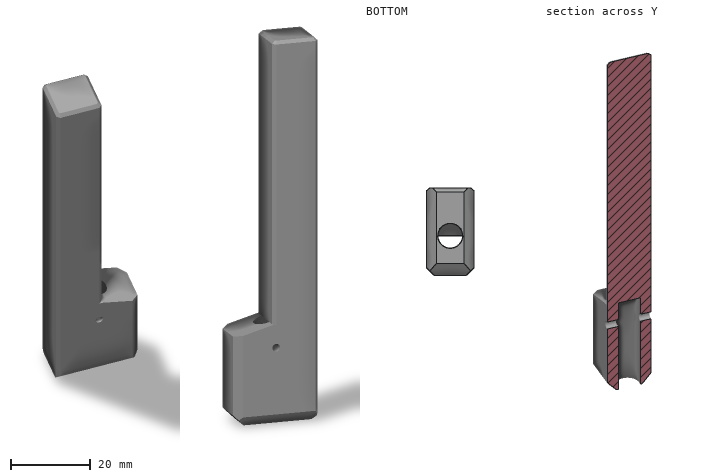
import cadquery as cq
import math

width = 12.0
foot_depth = 22.0
bar_depth = 12.0
height = 100.0

ledge_height = 26.2
ledge_slope = 15.0
rear_corner_chamfer = 2.0
rear_bottom_chamfer = 3.0
front_bottom_chamfer = 1.0
side_bottom_inset = 2.5
side_bottom_rise = 2.8

edge_chamfer = 0.8

bore_diameter = 6.2
pin_diameter = 2.0
pin_y = 11.2
pin_z = 20.2

half_width = width / 2


def chamfered_bar():
    """Square bar over the full height, bevelled on its long edges and top."""
    bar = cq.Workplane("XY").box(width, bar_depth, height, centered=(True, False, False))
    return bar.edges("|Z").chamfer(edge_chamfer).faces(">Z").edges().chamfer(edge_chamfer)


def foot():
    """Deeper lower block with a sloping ledge behind the bar."""
    ledge_length = foot_depth - bar_depth
    ledge_drop = ledge_length * math.tan(math.radians(ledge_slope))
    block = (
        cq.Workplane("YZ")
        .polyline([
            (0, 0),
            (foot_depth, 0),
            (foot_depth, ledge_height - ledge_drop),
            (bar_depth, ledge_height),
            (0, ledge_height),
        ])
        .close()
        .extrude(half_width, both=True)
    )
    block = block.edges("|Z and >Y").chamfer(rear_corner_chamfer)
    return block.edges("|Z and <Y").chamfer(edge_chamfer)


def side_envelope():
    """Side outline with the front and rear bottom edges bevelled."""
    return (
        cq.Workplane("YZ")
        .polyline([
            (front_bottom_chamfer, 0),
            (foot_depth - rear_bottom_chamfer, 0),
            (foot_depth, rear_bottom_chamfer),
            (foot_depth, height),
            (0, height),
            (0, front_bottom_chamfer),
        ])
        .close()
        .extrude(half_width, both=True)
    )


def front_envelope():
    """Front outline with both lower side edges bevelled."""
    bottom_half_width = half_width - side_bottom_inset
    return (
        cq.Workplane("XZ")
        .polyline([
            (-bottom_half_width, 0),
            (bottom_half_width, 0),
            (half_width, side_bottom_rise),
            (half_width, height),
            (-half_width, height),
            (-half_width, side_bottom_rise),
        ])
        .close()
        .extrude(-foot_depth)
    )


bore = cq.Workplane("XY").center(0, bar_depth).circle(bore_diameter / 2).extrude(ledge_height)

pin_hole = cq.Workplane("YZ").center(pin_y, pin_z).circle(pin_diameter / 2).extrude(half_width, both=True)

body = chamfered_bar().union(foot())
body = body.intersect(side_envelope()).intersect(front_envelope())
result = body.cut(bore).cut(pin_hole)